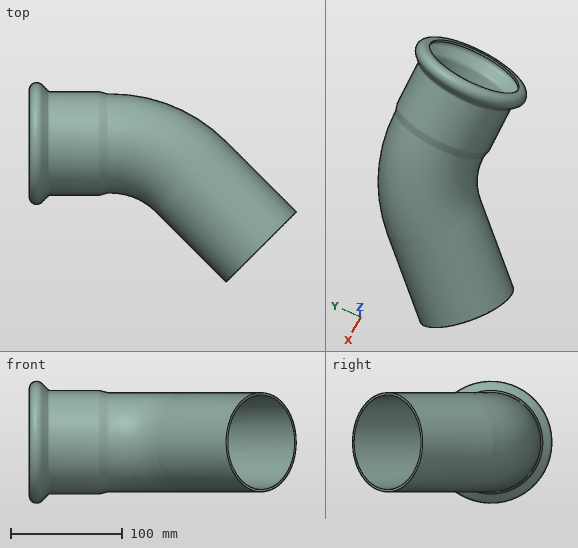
import cadquery as cq
import math

tube_radius = 89.0 / 2
tube_wall = 2.2
socket_radius = 92.8 / 2
socket_wall = 2.0
socket_bore_radius = socket_radius - socket_wall

bead_outer_radius = 109.4 / 2
bead_round = 6.7
bead_centre_radius = bead_outer_radius - bead_round
bead_cone_angle = math.radians(45)
bead_blend_radius = 2.2

cone_start = 63.0
cone_end = 70.3
cone_blend_radius = 3.5
stop_depth = cone_start
stop_bore_radius = 41.28

bend_start = 73.0
bend_angle = 45
bend_radius = 102.0
tangent_length = 13.0
spigot_length = 75.9


def bead_outline(inset):
    """Half profile from the mouth to the end of the bead cone, skin moved inwards by inset."""
    arc_radius = bead_round - inset
    flank_x = bead_round + arc_radius * math.sin(bead_cone_angle)
    flank_radius = bead_centre_radius + arc_radius * math.cos(bead_cone_angle)
    cone_length = (flank_radius - (socket_radius - inset)) / math.tan(bead_cone_angle)
    mid_angle = (3 * math.pi / 2 - bead_cone_angle) / 2
    arc_middle = (
        bead_round + arc_radius * math.cos(mid_angle),
        bead_centre_radius + arc_radius * math.sin(mid_angle),
    )
    bead_end = flank_x + cone_length
    outline = (
        cq.Workplane("XY")
        .moveTo(inset, 0)
        .lineTo(inset, bead_centre_radius)
        .threePointArc(arc_middle, (flank_x, flank_radius))
        .lineTo(bead_end, socket_radius - inset)
    )
    return outline, bead_end


def revolve_about_x(outline):
    return outline.close().revolve(360, (0, 0, 0), (1, 0, 0))


def blend_circle(body, x, radius):
    """Fillet the circular edge lying at position x."""
    margin = 0.2
    reach = 2 * bead_outer_radius
    at_x = cq.selectors.BoxSelector(
        (x - margin, -reach, -reach), (x + margin, reach, reach), boundingbox=True
    )
    return body.edges(at_x).fillet(radius)


def socket_outside():
    outline, bead_end = bead_outline(0)
    outline = (
        outline.lineTo(cone_start, socket_radius)
        .lineTo(cone_end, tube_radius)
        .lineTo(bend_start, tube_radius)
        .lineTo(bend_start, 0)
    )
    body = blend_circle(revolve_about_x(outline), bead_end, bead_blend_radius)
    body = blend_circle(body, cone_start, cone_blend_radius)
    return blend_circle(body, cone_end, cone_blend_radius)


def socket_cavity():
    """Hollow bead and straight bore, down to the insertion stop."""
    outline, bead_end = bead_outline(socket_wall)
    outline = outline.lineTo(stop_depth, socket_bore_radius).lineTo(stop_depth, 0)
    return blend_circle(revolve_about_x(outline), bead_end, bead_blend_radius + socket_wall)


mouth = cq.Workplane("YZ").circle(socket_bore_radius).extrude(bead_round)
stop_bore = cq.Workplane("YZ").circle(stop_bore_radius).extrude(bend_start)
socket = socket_outside().cut(socket_cavity()).cut(mouth).cut(stop_bore)

bend_turn = math.radians(bend_angle)
bend_end = cq.Vector(
    bend_start + bend_radius * math.sin(bend_turn),
    -bend_radius * (1 - math.cos(bend_turn)),
    0,
)
run_direction = cq.Vector(math.cos(bend_turn), -math.sin(bend_turn), 0)
start_plane = cq.Plane((bend_start, 0, 0), xDir=(0, 0, 1), normal=(1, 0, 0))
end_plane = cq.Plane(bend_end, xDir=(0, 0, 1), normal=run_direction)
bend_middle = (
    bend_start + bend_radius * math.sin(bend_turn / 2),
    -bend_radius * (1 - math.cos(bend_turn / 2)),
)
bend_path = (
    cq.Workplane("XY")
    .moveTo(bend_start, 0)
    .threePointArc(bend_middle, (bend_end.x, bend_end.y))
)
bend_outside = cq.Workplane(start_plane).circle(tube_radius).sweep(bend_path)
bend_bore = (
    cq.Workplane(start_plane)
    .circle(stop_bore_radius)
    .add(cq.Workplane(end_plane).circle(tube_radius - tube_wall))
    .toPending()
    .sweep(bend_path, multisection=True)
)
bend = bend_outside.cut(bend_bore)


def straight_tube(distance, length):
    """Straight tube starting at a distance beyond the end of the bend."""
    section = cq.Workplane(end_plane).workplane(offset=distance)
    return section.circle(tube_radius).circle(tube_radius - tube_wall).extrude(length)


tangent = straight_tube(0, tangent_length)
spigot = straight_tube(tangent_length, spigot_length)

elbow = socket
for piece in (bend, tangent, spigot):
    elbow = elbow.union(piece, clean=False)

result = elbow.solids()